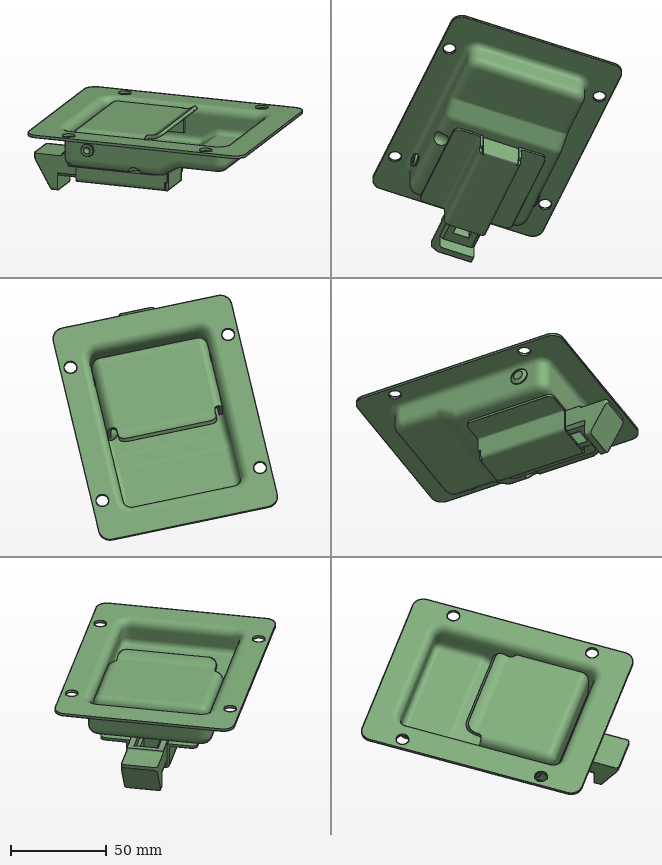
import cadquery as cq
import math


SELECT_MARGIN = 0.1
SHEET = 1.4

OVERALL_LENGTH = 129.9
PLATE_LENGTH = 120.6
PLATE_WIDTH = 95.2
PLATE_CORNER = 6.0
HOLE_DIAMETER = 6.6
HOLE_X = 38.0
HOLE_Y = 42.1

DISH_HALF_LENGTH = 45.3
DISH_HALF_WIDTH = 32.7
DISH_CORNER = 5.8
DISH_BOTTOM_RADIUS = 4.5
DISH_RIM_RADIUS = 4.5
DEEP_FLOOR_Z = -20.4
SHALLOW_FLOOR_Z = -15.2
DEEP_FLOOR_END_X = 9.5
RAMP_ANGLE = 30.0
DEEP_BEND_RADIUS = 4.7
SHALLOW_BEND_RADIUS = 2.3
DIMPLE_RADIUS = 3.6
DIMPLE_X = -5.3
DIMPLE_CENTRE_Y = -29.1

PADDLE_LEFT_X = -41.0
PADDLE_HALF_WIDTH = 30.8
PADDLE_TOP_Z = -0.1
PADDLE_SKIRT_Z = -14.3
PADDLE_SHEET = 2.0
PADDLE_RADIUS = 4.7
SKIRT_END_X = -0.5
SKIRT_RELIEF_RADIUS = 2.3
LIP_START_X = 2.1
LIP_BEND_RUN = 1.4
LIP_BEND_ANGLE = 20.0
LIP_TIP_ANGLE = 45.0
LIP_TIP_Z = 3.1
LIP_CORNER = 4.4

RIVET_X = -30.5
RIVET_Z = -9.4
RIVET_DIAMETER = 4.9
RIVET_HALF_LENGTH = 35.0
RIVET_HEAD_THICKNESS = 1.5
RIVET_FLARE_DIAMETER = 6.6
RIVET_BORE_DIAMETER = 3.6
RIVET_BORE_DEPTH = 1.8
RIVET_HEAD_DIAMETER = 9.5
RIVET_CROWN_DIAMETER = 5.2
RIVET_RIM = 0.5

CHANNEL_LEFT_X = -45.5
CHANNEL_RIGHT_X = 5.3
CHANNEL_FLANGE_HALF_WIDTH = 25.7
CHANNEL_HALF_WIDTH = 11.4
CHANNEL_BOTTOM_Z = -34.7
CHANNEL_BEND_INSIDE = 0.9
CHANNEL_MOUTH_RADIUS = 1.0
CHANNEL_ROOT_RADIUS = 0.8
CHANNEL_FLANGE_CORNER = 3.0
END_TAB_GAP = 0.3
END_NOTCH_TOP_Z = -29.7

BOLT_HALF_WIDTH = 9.6
BOLT_TIP_X = PLATE_LENGTH / 2 - OVERALL_LENGTH
BOLT_END_X = -6.5
BOLT_NOSE_TOP_Z = -21.7
BOLT_NOSE_HEIGHT = 1.8
BOLT_STEP_X = -53.8
BOLT_TOE_Z = -40.8
BOLT_TOE_X = -59.6
BOLT_CATCH_X = -56.4
BOLT_SHANK_BOTTOM_Z = -32.9
BOLT_SHANK_CHAMFER = 1.7
BOLT_NOSE_RADIUS = 1.5
BOLT_POCKET_X = -50.9
BOLT_POCKET_END_X = -34.7
BOLT_POCKET_WIDTH = 12.7
BOLT_POCKET_DEPTH = 3.8
BOLT_POCKET_LEDGE = 2.0


def block(left_x, right_x, half_width, bottom_z, top_z):
    """Box symmetric about the XZ plane, given by its limits."""
    return (
        cq.Workplane("XY", origin=(left_x, 0, bottom_z))
        .box(right_x - left_x, 2 * half_width, top_z - bottom_z, centered=(False, True, False))
    )


def zone(left_x, right_x, half_width, z):
    """Selector for what is centred in a thin level slice at height z."""
    return cq.selectors.BoxSelector(
        (left_x, -half_width - SELECT_MARGIN, z - SELECT_MARGIN),
        (right_x, half_width + SELECT_MARGIN, z + SELECT_MARGIN),
    )


def dish_form(inset):
    """Solid outline of the dish, moved inward by inset on the walls and the floor."""
    half_length = DISH_HALF_LENGTH - inset
    half_width = DISH_HALF_WIDTH - inset
    deep_z = DEEP_FLOOR_Z + inset
    shallow_z = SHALLOW_FLOOR_Z + inset
    ramp = math.radians(RAMP_ANGLE)
    ramp_start = DEEP_FLOOR_END_X - inset * math.tan(ramp / 2)
    ramp_end = ramp_start + (shallow_z - deep_z) / math.tan(ramp)

    form = (
        cq.Workplane("XZ")
        .moveTo(-half_length, 0)
        .lineTo(-half_length, deep_z)
        .lineTo(ramp_start, deep_z)
        .lineTo(ramp_end, shallow_z)
        .lineTo(half_length, shallow_z)
        .lineTo(half_length, 0)
        .close()
        .extrude(half_width, both=True)
    )
    deep_bend = cq.selectors.NearestToPointSelector((ramp_start, 0, deep_z))
    shallow_bend = cq.selectors.NearestToPointSelector((ramp_end, 0, shallow_z))
    form = form.edges(deep_bend).fillet(DEEP_BEND_RADIUS - inset)
    form = form.edges(shallow_bend).fillet(SHALLOW_BEND_RADIUS + inset)
    form = form.edges("|Z").fillet(DISH_CORNER - inset)
    return form.faces("<Z").edges("<X").fillet(DISH_BOTTOM_RADIUS - inset)


def dimple_form(radius):
    """Round-ended peg along Y that enters the dish through its -Y bottom edge."""
    peg = (
        cq.Workplane("XZ", origin=(DIMPLE_X, DIMPLE_CENTRE_Y, DEEP_FLOOR_Z))
        .circle(radius)
        .extrude(DISH_HALF_WIDTH + DIMPLE_CENTRE_Y)
    )
    round_end = cq.Workplane("XY").sphere(radius).translate((DIMPLE_X, DIMPLE_CENTRE_Y, DEEP_FLOOR_Z))
    return peg.union(round_end)


def dished_plate():
    plate = (
        cq.Workplane("XY")
        .rect(PLATE_LENGTH, PLATE_WIDTH)
        .extrude(-SHEET)
        .edges("|Z")
        .fillet(PLATE_CORNER)
    )
    body = plate.union(dish_form(0))
    rim_x = DISH_HALF_LENGTH + SELECT_MARGIN
    under_rim = zone(-rim_x, rim_x, DISH_HALF_WIDTH, -SHEET)
    body = body.edges(under_rim).fillet(DISH_RIM_RADIUS - SHEET)
    body = body.cut(dish_form(SHEET))
    upper_rim = zone(-rim_x, rim_x, DISH_HALF_WIDTH, 0)
    body = body.edges(upper_rim).fillet(DISH_RIM_RADIUS)

    mounting_holes = (
        cq.Workplane("XY")
        .rect(2 * HOLE_X, 2 * HOLE_Y, forConstruction=True)
        .vertices()
        .circle(HOLE_DIAMETER / 2)
        .extrude(-SHEET)
    )
    dimple_shell = dimple_form(DIMPLE_RADIUS + SHEET).intersect(dish_form(SHEET / 2))
    return body.cut(mounting_holes).union(dimple_shell).cut(dimple_form(DIMPLE_RADIUS))


def paddle_form(inset):
    """Rounded block with a plain right end, moved inward by inset on the other sides."""
    form = block(
        PADDLE_LEFT_X + inset,
        LIP_START_X,
        PADDLE_HALF_WIDTH - inset,
        PADDLE_SKIRT_Z,
        PADDLE_TOP_Z - inset,
    )
    return form.edges("(<X and |Z) or (>Z and (not >X))").fillet(PADDLE_RADIUS - inset)


def paddle_lip(half_width):
    """Curled finger lip: two tangent arcs swept up to the tip angle."""
    bend = math.radians(LIP_BEND_ANGLE)
    tip = math.radians(LIP_TIP_ANGLE)
    bend_radius = LIP_BEND_RUN / math.sin(bend)
    bend_end_z = PADDLE_TOP_Z + bend_radius * (1 - math.cos(bend))
    curl_radius = (LIP_TIP_Z - bend_end_z) / (math.cos(bend) - math.cos(tip))
    bend_centre = (LIP_START_X, PADDLE_TOP_Z + bend_radius)
    curl_centre = (
        LIP_START_X + (bend_radius - curl_radius) * math.sin(bend),
        bend_end_z + curl_radius * math.cos(bend),
    )

    def point(centre, radius, angle):
        return (centre[0] + radius * math.sin(angle), centre[1] - radius * math.cos(angle))

    def curl(extra, angle):
        return point(curl_centre, curl_radius + extra, angle)

    def first_bend(extra, angle):
        return point(bend_centre, bend_radius + extra, angle)

    middle = (bend + tip) / 2
    lip = (
        cq.Workplane("XZ")
        .moveTo(*first_bend(0, 0))
        .threePointArc(first_bend(0, bend / 2), first_bend(0, bend))
        .threePointArc(curl(0, middle), curl(0, tip))
        .lineTo(*curl(PADDLE_SHEET, tip))
        .threePointArc(curl(PADDLE_SHEET, middle), curl(PADDLE_SHEET, bend))
        .threePointArc(first_bend(PADDLE_SHEET, bend / 2), first_bend(PADDLE_SHEET, 0))
        .close()
        .extrude(half_width, both=True)
    )
    tip_x, tip_z = curl(PADDLE_SHEET / 2, tip)
    tip_face = cq.selectors.NearestToPointSelector((tip_x, 0, tip_z))
    return lip.faces(tip_face).edges("not |Y").fillet(LIP_CORNER)


def paddle():
    lip_half_width = PADDLE_HALF_WIDTH - PADDLE_RADIUS
    body = paddle_form(0).cut(paddle_form(PADDLE_SHEET))
    for side in (-1, 1):
        relief = (
            cq.Workplane("XY", origin=(SKIRT_END_X, 0, PADDLE_SKIRT_Z))
            .box(PADDLE_RADIUS, PADDLE_RADIUS, PADDLE_TOP_Z - PADDLE_SKIRT_Z, centered=False)
            .edges("|Z and <X and <Y")
            .fillet(SKIRT_RELIEF_RADIUS)
            .translate((0, lip_half_width, 0))
        )
        if side < 0:
            relief = relief.mirror("XZ")
        body = body.cut(relief)
    return body.union(paddle_lip(lip_half_width))


def rivet():
    """Rivet turned about the pivot axis, which runs along Y."""
    head_y = RIVET_HALF_LENGTH - RIVET_HEAD_THICKNESS
    shank_radius = RIVET_DIAMETER / 2
    flare_radius = RIVET_FLARE_DIAMETER / 2
    head_radius = RIVET_HEAD_DIAMETER / 2
    return (
        cq.Workplane("XY")
        .moveTo(0, RIVET_BORE_DEPTH - RIVET_HALF_LENGTH)
        .lineTo(RIVET_BORE_DIAMETER / 2, -RIVET_HALF_LENGTH)
        .lineTo(flare_radius, -RIVET_HALF_LENGTH)
        .lineTo(flare_radius, -head_y)
        .lineTo(shank_radius, -head_y)
        .lineTo(shank_radius, head_y)
        .lineTo(head_radius, head_y)
        .lineTo(head_radius, head_y + RIVET_RIM)
        .lineTo(RIVET_CROWN_DIAMETER / 2, RIVET_HALF_LENGTH)
        .lineTo(0, RIVET_HALF_LENGTH)
        .close()
        .revolve(360, (0, 0), (0, 1))
        .translate((RIVET_X, 0, RIVET_Z))
    )


def channel():
    """Hat-shaped channel under the deep floor, closed by a tab at its right end."""
    inner_half_width = CHANNEL_HALF_WIDTH - SHEET
    flange_bottom_z = DEEP_FLOOR_Z - SHEET
    floor_top_z = CHANNEL_BOTTOM_Z + SHEET
    bend_outside = CHANNEL_BEND_INSIDE + SHEET

    def along_channel(half_width, bottom_z, top_z):
        return block(CHANNEL_LEFT_X, CHANNEL_RIGHT_X, half_width, bottom_z, top_z)

    flange = along_channel(CHANNEL_FLANGE_HALF_WIDTH, flange_bottom_z, DEEP_FLOOR_Z)
    flange = flange.edges("|Z").fillet(CHANNEL_FLANGE_CORNER)
    trough = along_channel(CHANNEL_HALF_WIDTH, CHANNEL_BOTTOM_Z, DEEP_FLOOR_Z)
    trough = trough.edges("<Z and |X").fillet(bend_outside)
    bore = along_channel(inner_half_width, floor_top_z, DEEP_FLOOR_Z)
    bore = bore.edges("<Z and |X").fillet(CHANNEL_BEND_INSIDE)
    body = flange.union(trough)

    under_flange = zone(CHANNEL_LEFT_X, CHANNEL_RIGHT_X, CHANNEL_HALF_WIDTH, flange_bottom_z)
    body = body.edges(under_flange).edges("|X").fillet(CHANNEL_ROOT_RADIUS)
    body = body.cut(bore)
    trough_mouth = zone(CHANNEL_LEFT_X, CHANNEL_RIGHT_X, CHANNEL_HALF_WIDTH, DEEP_FLOOR_Z)
    body = body.edges(trough_mouth).edges("|X").fillet(CHANNEL_MOUTH_RADIUS)

    tab_left_x = CHANNEL_RIGHT_X - SHEET
    tab_half_width = inner_half_width - END_TAB_GAP
    end_notch = block(
        tab_left_x, CHANNEL_RIGHT_X, CHANNEL_HALF_WIDTH, CHANNEL_BOTTOM_Z, END_NOTCH_TOP_Z
    )
    end_tab = block(
        tab_left_x, CHANNEL_RIGHT_X, tab_half_width, CHANNEL_BOTTOM_Z, flange_bottom_z
    )
    end_tab = end_tab.edges("<Z and >X").fillet(CHANNEL_BEND_INSIDE)
    return body.cut(end_notch).union(end_tab)


def housing():
    return dished_plate().union(rivet()).union(paddle()).union(channel())


def bolt():
    step = DEEP_FLOOR_Z - BOLT_NOSE_TOP_Z
    half_quarter = math.pi / 4
    step_middle = (
        BOLT_STEP_X - step * (1 - math.cos(half_quarter)),
        DEEP_FLOOR_Z - step * math.sin(half_quarter),
    )
    body = (
        cq.Workplane("XZ")
        .moveTo(BOLT_TIP_X, BOLT_NOSE_TOP_Z)
        .lineTo(BOLT_TIP_X, BOLT_NOSE_TOP_Z - BOLT_NOSE_HEIGHT)
        .lineTo(BOLT_TOE_X, BOLT_TOE_Z)
        .lineTo(BOLT_CATCH_X, BOLT_TOE_Z)
        .lineTo(BOLT_CATCH_X, BOLT_SHANK_BOTTOM_Z)
        .lineTo(BOLT_END_X, BOLT_SHANK_BOTTOM_Z)
        .lineTo(BOLT_END_X, DEEP_FLOOR_Z)
        .lineTo(BOLT_STEP_X, DEEP_FLOOR_Z)
        .threePointArc(step_middle, (BOLT_STEP_X - step, BOLT_NOSE_TOP_Z))
        .close()
        .extrude(BOLT_HALF_WIDTH, both=True)
    )
    shank_edges = zone(BOLT_CATCH_X, BOLT_END_X, BOLT_HALF_WIDTH, BOLT_SHANK_BOTTOM_Z)
    body = body.edges(shank_edges).edges("|X").chamfer(BOLT_SHANK_CHAMFER)
    body = body.edges("|Z and <X").fillet(BOLT_NOSE_RADIUS)
    body = body.edges("|X and <Z").fillet(BOLT_NOSE_RADIUS)

    pocket_half_width = BOLT_POCKET_WIDTH / 2
    pocket = block(
        BOLT_POCKET_X,
        BOLT_POCKET_END_X,
        pocket_half_width,
        DEEP_FLOOR_Z - BOLT_POCKET_DEPTH,
        DEEP_FLOOR_Z,
    )
    slot = block(
        BOLT_POCKET_X,
        BOLT_POCKET_END_X,
        pocket_half_width - BOLT_POCKET_LEDGE,
        BOLT_SHANK_BOTTOM_Z,
        DEEP_FLOOR_Z,
    )
    return body.cut(pocket).cut(slot)


result = cq.Compound.makeCompound([housing().solids().val(), bolt().solids().val()])